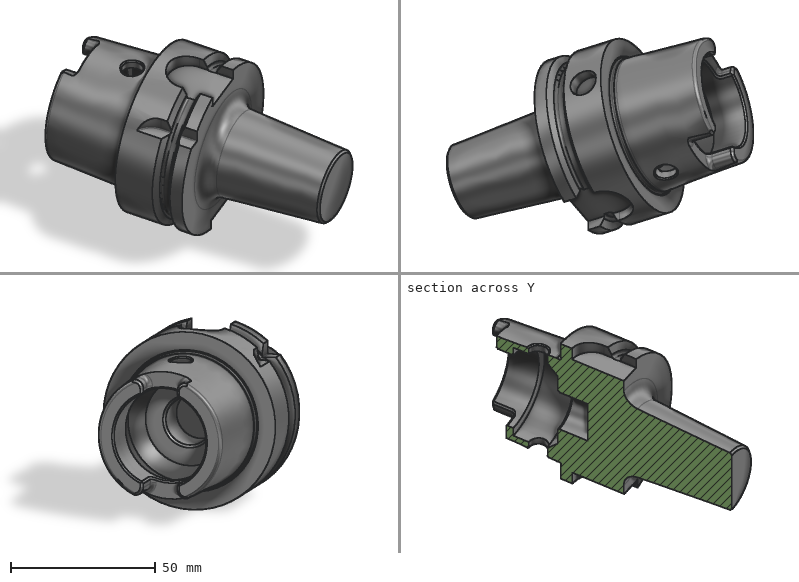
import cadquery as cq
import math


total_length = 102.0

shank_length = 32.0
taper_end = 29.8
taper_end_radius = 24.1
taper_rate = 0.05
shank_nose_round = 1.0
land_start = 30.4
land_end = 30.7
land_radius = 24.2
neck_radius = 24.1

undercut_outer_radius = 25.2
undercut_inner_radius = 24.7
undercut_depth = 0.2

flange_radius = 31.5
flange_end = 57.9
groove_start = 46.4
groove_end = 53.2
groove_radius = 27.5
groove_flank_run = 1.5
groove_flank_angle = math.radians(60)
groove_corner = 0.9

nose_root_radius = 16.1
nose_root = 63.2
nose_tip_radius = 13.4
nose_tip_chamfer = 0.8
neck_fillet = 5.9

mouth_radius = 16.8
mouth_chamfer = 0.6
clamp_lip = 12.9
chamber_radius = 20.4
chamber_end = 26.0
floor_radius = 15.6
coolant_hole_radius = 8.5
coolant_hole_chamfer = 0.8
coolant_hole_depth = 12.2

keyway_half_width = 6.2
keyway_flare_radius = 3.0
keyway_flare_start = 17.5
keyway_floor_fillet = 1.5
keyway_chamfer = 0.9
upper_keyway_depth = 5.9
lower_keyway_depth = 9.8

cross_hole_x = 22.8
cross_hole_radius = 3.8
cross_hole_chamfer = 0.5

slot_floor = 26.4
slot_start = 36.8
upper_slot_radius = 8.0
lower_slot_radius = 9.0
notch_offset = 19.9
notch_start = 43.9
notch_end_radius = 7.6
notch_corner_fillet = 0.3
chip_hole_x = 38.9
chip_hole_radius = 5.0
chip_hole_depth = 4.6

rim_band = 2.0
clearance = 5.1


def revolve_about_x(sketch):
    return sketch.close().revolve(360, (0, 0, 0), (1, 0, 0))


def make_body():
    nose_angle = math.atan2(nose_root_radius - nose_tip_radius, total_length - nose_root)
    shoulder_x = total_length - nose_tip_chamfer
    shoulder_radius = nose_tip_radius + nose_tip_chamfer * math.tan(nose_angle)
    face_start = taper_end_radius - taper_rate * taper_end - shank_nose_round
    taper_start_radius = taper_end_radius - taper_rate * (taper_end - shank_nose_round)

    undercut_round = undercut_inner_radius - neck_radius
    undercut_floor = shank_length + undercut_depth
    flank_drop = groove_flank_run * math.tan(groove_flank_angle)
    groove_left = groove_start + groove_flank_run
    groove_right = groove_end - groove_flank_run
    corner_top = groove_radius + groove_corner

    fillet_x = flange_end + neck_fillet
    cone_radius = nose_root_radius - (fillet_x - nose_root) * math.tan(nose_angle)
    fillet_r = cone_radius + neck_fillet / math.cos(nose_angle)

    def on_fillet(angle):
        return (fillet_x - neck_fillet * math.sin(angle), fillet_r - neck_fillet * math.cos(angle))

    mid_angle = (math.pi / 2 + nose_angle) / 2
    diagonal = math.sqrt(0.5)
    profile = (
        cq.Workplane("XY")
        .moveTo(0, 0)
        .lineTo(0, face_start)
        .threePointArc(
            (shank_nose_round * (1 - diagonal), face_start + shank_nose_round * diagonal),
            (shank_nose_round, taper_start_radius),
        )
        .lineTo(taper_end, taper_end_radius)
        .lineTo(land_start, land_radius)
        .lineTo(land_end, land_radius)
        .lineTo(land_end, neck_radius)
        .lineTo(undercut_floor - undercut_round, neck_radius)
        .radiusArc((undercut_floor, undercut_inner_radius), -undercut_round)
        .lineTo(shank_length, undercut_outer_radius)
        .lineTo(shank_length, flange_radius)
        .lineTo(groove_start, flange_radius)
        .lineTo(groove_left, flange_radius - flank_drop)
        .lineTo(groove_left, corner_top)
        .radiusArc((groove_left + groove_corner, groove_radius), -groove_corner)
        .lineTo(groove_right - groove_corner, groove_radius)
        .radiusArc((groove_right, corner_top), -groove_corner)
        .lineTo(groove_right, flange_radius - flank_drop)
        .lineTo(groove_end, flange_radius)
        .lineTo(flange_end, flange_radius)
        .lineTo(flange_end, fillet_r)
        .threePointArc(on_fillet(mid_angle), on_fillet(nose_angle))
        .lineTo(shoulder_x, shoulder_radius)
        .lineTo(total_length, shoulder_radius - nose_tip_chamfer)
        .lineTo(total_length, 0)
    )
    return revolve_about_x(profile)


def make_cavity():
    floor_x = chamber_end + chamber_radius - floor_radius
    coolant_hole_end = floor_x + coolant_hole_depth
    profile = (
        cq.Workplane("XY")
        .moveTo(0, 0)
        .lineTo(0, mouth_radius + mouth_chamfer)
        .lineTo(mouth_chamfer, mouth_radius)
        .lineTo(clamp_lip, mouth_radius)
        .lineTo(clamp_lip, chamber_radius)
        .lineTo(chamber_end, chamber_radius)
        .lineTo(floor_x, floor_radius)
        .lineTo(floor_x, coolant_hole_radius + coolant_hole_chamfer)
        .lineTo(floor_x + coolant_hole_chamfer, coolant_hole_radius)
        .lineTo(coolant_hole_end, coolant_hole_radius)
        .lineTo(coolant_hole_end, 0)
    )
    return revolve_about_x(profile)


def keyway_outline(offset):
    """Upper keyway section in the YZ plane, widened on every side by the offset."""
    half_width = keyway_half_width + offset
    flare = keyway_flare_radius - offset
    shelf_y = half_width + flare
    shelf_z = keyway_flare_start + flare
    outer_y = shelf_y + clearance
    outer_z = taper_end_radius + clearance
    return (
        cq.Workplane("YZ")
        .moveTo(-half_width, 0)
        .lineTo(half_width, 0)
        .lineTo(half_width, keyway_flare_start)
        .radiusArc((shelf_y, shelf_z), flare)
        .lineTo(outer_y, shelf_z)
        .lineTo(outer_y, outer_z)
        .lineTo(-outer_y, outer_z)
        .lineTo(-outer_y, shelf_z)
        .lineTo(-shelf_y, shelf_z)
        .radiusArc((-half_width, keyway_flare_start), flare)
        .close()
    )


def make_keyway(depth):
    slot = keyway_outline(0).extrude(depth).faces(">X").edges().fillet(keyway_floor_fillet)
    mouth = keyway_outline(keyway_chamfer).extrude(keyway_chamfer, taper=45)
    return slot.union(mouth)


def chamfer_keyway_rim(body, depth, side):
    """Continue the mouth chamfer along the bore edge at the keyway floor and walls."""
    reach = mouth_chamfer
    rim = cq.selectors.BoxSelector(
        (depth - reach, -reach, side * (mouth_radius - 2 * reach)),
        (depth + reach, reach, side * (mouth_radius + reach)),
    )
    return body.edges(rim).chamfer(mouth_chamfer)


def drill_cross_hole(body):
    drilled = body.cut(
        cq.Workplane("XY")
        .center(cross_hole_x, 0)
        .circle(cross_hole_radius)
        .extrude(flange_radius, both=True)
    )
    reach = cross_hole_radius + cross_hole_chamfer
    for side in (1, -1):
        rim = cq.selectors.BoxSelector(
            (cross_hole_x - reach, -reach, side * (taper_end_radius - rim_band)),
            (cross_hole_x + reach, reach, side * (taper_end_radius + rim_band)),
        )
        drilled = drilled.edges(rim).chamfer(cross_hole_chamfer)
    return drilled


def make_flange_slot(half_width):
    """Round-ended slot across the top of the flange, open towards the nose."""
    center_x = slot_start + half_width
    return (
        cq.Workplane("XY", origin=(0, 0, slot_floor))
        .moveTo(flange_end, -half_width)
        .lineTo(center_x, -half_width)
        .threePointArc((slot_start, 0), (center_x, half_width))
        .lineTo(flange_end, half_width)
        .close()
        .extrude(flange_radius - slot_floor + clearance)
    )


def make_notch():
    """Corner notch on the -Y side, with a rounded end towards the shank."""
    center_y = -notch_offset - notch_end_radius
    outer_y = center_y - notch_end_radius
    return (
        cq.Workplane("XY", origin=(0, 0, notch_offset))
        .moveTo(flange_end, -notch_offset)
        .lineTo(notch_start, -notch_offset)
        .threePointArc((notch_start - notch_end_radius, center_y), (notch_start, outer_y))
        .lineTo(flange_end, outer_y)
        .close()
        .extrude(flange_radius)
        .edges("<Z and (not >X)")
        .fillet(notch_corner_fillet)
    )


def make_chip_hole():
    return (
        cq.Workplane("XZ", origin=(chip_hole_x, flange_radius - chip_hole_depth, 0))
        .circle(chip_hole_radius)
        .extrude(-chip_hole_depth - clearance)
    )


def turned_over(solid):
    return solid.rotate((0, 0, 0), (1, 0, 0), 180)


holder = (
    drill_cross_hole(make_body())
    .cut(make_cavity())
    .cut(make_keyway(upper_keyway_depth))
    .cut(turned_over(make_keyway(lower_keyway_depth)))
)
holder = chamfer_keyway_rim(holder, upper_keyway_depth, 1)
holder = chamfer_keyway_rim(holder, lower_keyway_depth, -1)

result = (
    holder.cut(make_flange_slot(upper_slot_radius))
    .cut(turned_over(make_flange_slot(lower_slot_radius)))
    .cut(make_notch())
    .cut(make_chip_hole())
)